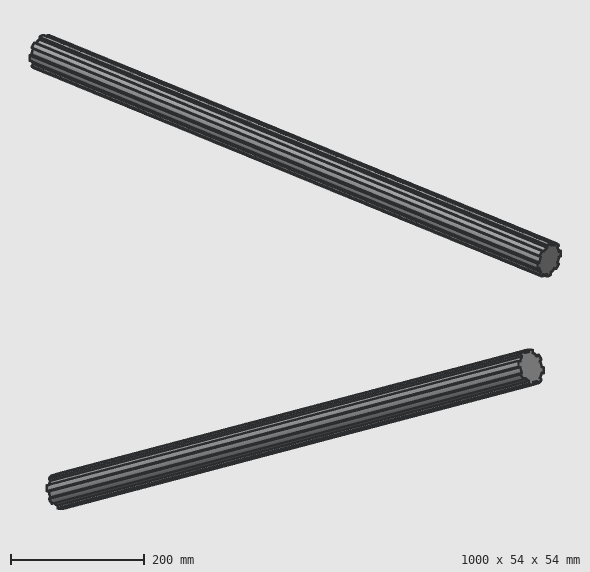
import cadquery as cq

length = 1000.0
outer_diameter = 54.0
root_diameter = 46.0
spline_width = 9.0
spline_count = 8

section_plane = cq.Workplane("YZ", origin=(-length / 2, 0, 0))


def spline_pair(angle):
    """Bar across the shaft that forms two opposite splines."""
    bar = section_plane.rect(outer_diameter, spline_width).extrude(length)
    return bar.rotate((0, 0, 0), (1, 0, 0), angle)


shaft = section_plane.circle(root_diameter / 2).extrude(length)
for index in range(spline_count // 2):
    shaft = shaft.union(spline_pair(index * 360 / spline_count))

envelope = section_plane.circle(outer_diameter / 2).extrude(length)
result = shaft.intersect(envelope)